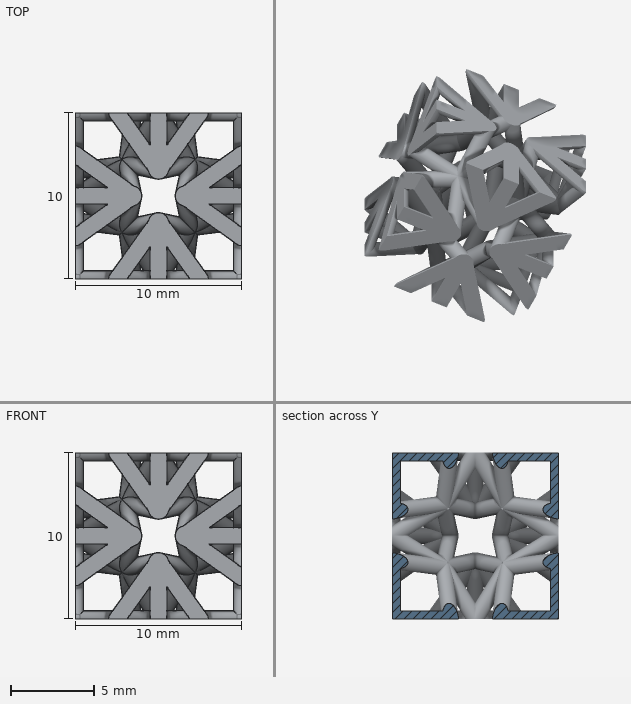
import cadquery as cq

cell_size = 10
strut_diameter = 1
face_node_offset = 1.5
edge_node_offset = 2.5
inner_node_offset = 1.91

half_cell = cell_size / 2
strut_radius = strut_diameter / 2
signs = (-1, 1)


def node(axes, lengths):
    """Point with the given lengths laid out along the given axes (0 = X, 1 = Y, 2 = Z)."""
    point = [0, 0, 0]
    for axis, length in zip(axes, lengths):
        point[axis] = length
    return cq.Vector(*point)


def strut(start, end):
    """Round rod whose axis runs from one node to another."""
    axis = end - start
    return cq.Solid.makeCylinder(strut_radius, axis.Length, start, axis)


def joint(centre):
    """Ball that rounds off the struts meeting at a node."""
    return cq.Workplane("XY").sphere(strut_radius).translate(centre).val()


def face_node_cluster(axes, face_side, edge_side):
    """One face node with its joint and its five struts.

    The axes are, in order: the face normal, the direction from the face centre
    to the nearby cell edge, and the direction along that edge.
    """
    face_place = face_side * half_cell
    edge_place = edge_side * half_cell
    face_node = node(axes, (face_place, edge_side * face_node_offset, 0))
    edge_midpoint = node(axes, (face_place, edge_place, 0))
    parts = [joint(face_node), strut(face_node, edge_midpoint)]
    for along_side in signs:
        edge_node = node(axes, (face_place, edge_place, along_side * edge_node_offset))
        inner_node = node(axes, [side * inner_node_offset for side in (face_side, edge_side, along_side)])
        parts.append(strut(face_node, edge_node))
        parts.append(strut(face_node, inner_node))
    return parts


def edge_joints(axes, first_side, second_side):
    """The two joints on the cell edge that runs along the third axis."""
    corner = (first_side * half_cell, second_side * half_cell)
    return [joint(node(axes, (*corner, side * edge_node_offset))) for side in signs]


pieces = []
for first, second, along in ((0, 1, 2), (1, 2, 0), (2, 0, 1)):
    for first_side in signs:
        for second_side in signs:
            pieces += edge_joints((first, second, along), first_side, second_side)
            pieces += face_node_cluster((first, second, along), first_side, second_side)
            pieces += face_node_cluster((second, first, along), second_side, first_side)

lattice = pieces[0].fuse(*pieces[1:])

cell = cq.Workplane("XY").box(cell_size, cell_size, cell_size)
result = cell.intersect(cq.Workplane(obj=lattice)).solids()